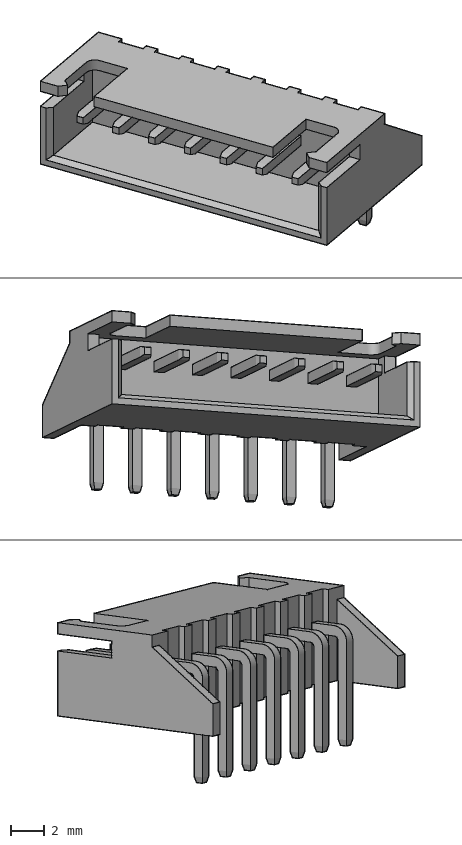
import cadquery as cq


pin_count = 7
pitch = 2.5
pin_size = 0.65
pin_tip_size = 0.45
pin_taper = 0.38
pin_axis_height = 3.52
pin_tip_setback = 0.48
pin_leg_length = 3.5
pin_back = 9.2
pin_bend_radius = 0.95
pin_xs = [(i - (pin_count - 1) / 2) * pitch for i in range(pin_count)]

length = (pin_count + 1) * pitch
total_height = 9.25
height = total_height - pin_leg_length
body_depth = 7.0
total_depth = 11.5
side_wall = 0.75
floor_thickness = 0.68
roof_thickness = 0.7
cavity_depth = 5.0
half_length = length / 2

mouth_side_lip = 0.4
mouth_floor_lip = 0.4
mouth_bevel_depth = 0.3

cheek_shoulder_drop = 0.75
cheek_back_height = 2.0

opening_depth = 4.0
side_slot_bottom_drop = 1.75
arm_width = 1.25
tongue_inset = 3.75
arm_corner_radius = 0.6
barb_size = 0.42

notch_width = 1.7
notch_depth = 0.4


def box(x_min, x_max, y_min, y_max, z_min, z_max):
    size = (x_max - x_min, y_max - y_min, z_max - z_min)
    return cq.Workplane("XY").box(*size, centered=False).translate((x_min, y_min, z_min))


def mirrored_pair(shape):
    return shape.union(shape.mirror("YZ"))


def make_cheek():
    """Left side plate whose sloped top runs down to the back."""
    outline = [
        (0, 0),
        (total_depth, 0),
        (total_depth, cheek_back_height),
        (body_depth, height - cheek_shoulder_drop),
        (0, height - cheek_shoulder_drop),
    ]
    plate = cq.Workplane("YZ").polyline(outline).close().extrude(side_wall)
    return plate.translate((-half_length, 0, 0))


def make_mouth_bevel():
    """Flared mouth on the floor and side walls, below the roof."""
    roof_underside = height - roof_thickness

    def section(y, side, bottom):
        x = half_length - side
        points = [(-x, bottom), (x, bottom), (x, roof_underside), (-x, roof_underside)]
        return cq.Wire.makePolygon([cq.Vector(px, y, pz) for px, pz in points], close=True)

    front = section(0, mouth_side_lip, mouth_floor_lip)
    back = section(mouth_bevel_depth, side_wall, floor_thickness)
    return cq.Workplane(cq.Solid.makeLoft([front, back], True))


def make_roof_opening():
    """Gap between the left latch arm, with its barb, and the centre tongue."""
    arm_edge = -half_length + arm_width
    gap = box(arm_edge, -half_length + tongue_inset, 0, opening_depth, height - roof_thickness, height)
    gap = gap.edges("|Z and >Y and <X").fillet(arm_corner_radius)
    barb = (
        cq.Workplane("XY", origin=(arm_edge, 0, height - roof_thickness))
        .polyline([(0, 0), (barb_size, barb_size), (0, 2 * barb_size)])
        .close()
        .extrude(roof_thickness)
    )
    return gap.cut(barb)


def make_side_slot():
    """Slot through the left side wall, under the latch arm."""
    return box(
        -half_length,
        -half_length + side_wall,
        0,
        opening_depth,
        height - side_slot_bottom_drop,
        height - roof_thickness,
    )


def make_housing():
    inner_half = half_length - side_wall
    housing = box(-half_length, half_length, 0, body_depth, 0, height)
    housing = housing.union(mirrored_pair(make_cheek()))
    cavity = box(-inner_half, inner_half, 0, cavity_depth, floor_thickness, height - roof_thickness)
    housing = housing.cut(cavity).cut(make_mouth_bevel())
    housing = housing.cut(mirrored_pair(make_roof_opening()))
    housing = housing.cut(mirrored_pair(make_side_slot()))
    for x in pin_xs:
        half_notch = notch_width / 2
        notch = box(x - half_notch, x + half_notch, body_depth - notch_depth, body_depth, 0, height)
        housing = housing.cut(notch)
    return housing


def make_taper(plane):
    """Pin point that narrows along the normal of the given plane."""
    return (
        cq.Workplane(plane)
        .rect(pin_size, pin_size)
        .workplane(offset=pin_taper)
        .rect(pin_tip_size, pin_tip_size)
        .loft(ruled=True)
    )


def make_pin():
    """Bent square pin at X = 0, pointed at both ends."""
    half = pin_size / 2
    top = pin_axis_height + half
    front = pin_tip_setback + pin_taper
    bottom = -pin_leg_length + pin_taper
    leg_axis = pin_back - half
    horizontal = box(-half, half, front, pin_back, top - pin_size, top)
    vertical = box(-half, half, pin_back - pin_size, pin_back, bottom, top)
    bent = horizontal.union(vertical)
    bent = bent.edges("|X and >Y and >Z").fillet(pin_bend_radius)
    inner_corner = cq.selectors.NearestToPointSelector((0, pin_back - pin_size, top - pin_size))
    bent = bent.edges(inner_corner).fillet(pin_bend_radius - pin_size)
    front_plane = cq.Plane(origin=(0, front, pin_axis_height), xDir=(1, 0, 0), normal=(0, -1, 0))
    leg_plane = cq.Plane(origin=(0, leg_axis, bottom), xDir=(1, 0, 0), normal=(0, 0, -1))
    return bent.union(make_taper(front_plane)).union(make_taper(leg_plane))


result = make_housing()
pin = make_pin()
for pin_x in pin_xs:
    result = result.union(pin.translate((pin_x, 0, 0)))